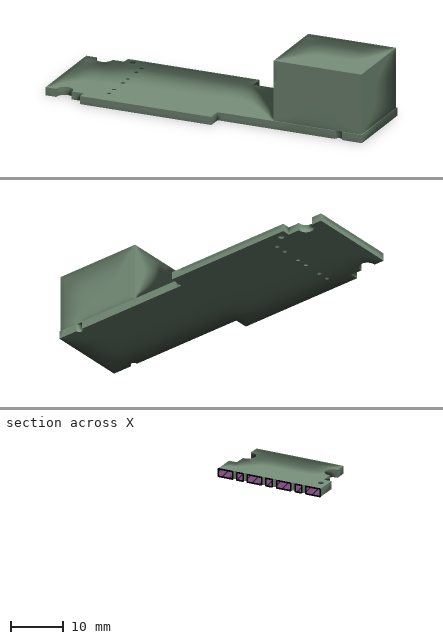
import cadquery as cq

LENGTH = 65.25
THICKNESS = 1.6
TAB_LENGTH = 7.9
TAB_WIDTH = 18.65
BODY_END = 35.25
BODY_WIDTH = 22.0
NECK_WIDTH = 16.3

TAB_NOTCH_DIAMETER = 3.2
TAB_NOTCH_X = 3.85
TAB_NOTCH_INSET = 0.2
NECK_NOTCH_DIAMETER = 1.45
NECK_NOTCH_X = 60.35

CORNER_HOLE_DIAMETER = 1.2
CORNER_HOLE_X = 9.5
CORNER_HOLE_Y = 9.6
PIN_HOLE_DIAMETER = 0.8
PIN_HOLE_X = 12.3
PIN_HOLE_PITCH = 2.3
PIN_PAIR_CENTERS_Y = (6.25, 0.0, -6.25)

BLOCK_LENGTH = 18.3
BLOCK_WIDTH = 15.9
BLOCK_HEIGHT = 12.15
BLOCK_END_GAP = 0.2


def drill(board, diameter, points):
    """Cut round holes right through the board."""
    holes = cq.Workplane("XY").pushPoints(points).circle(diameter / 2).extrude(THICKNESS)
    return board.cut(holes)


def slab(start, end, width):
    """A rectangular stretch of board centred on Y = 0."""
    blank = cq.Workplane("XY").box(end - start, width, THICKNESS, centered=(False, True, False))
    return blank.translate((start, 0, 0))


def make_board():
    board = slab(0, TAB_LENGTH, TAB_WIDTH)
    board = board.union(slab(TAB_LENGTH, BODY_END, BODY_WIDTH))
    board = board.union(slab(BODY_END, LENGTH, NECK_WIDTH))

    for side in (-1, 1):
        tab_notch_y = side * (TAB_WIDTH / 2 - TAB_NOTCH_INSET)
        board = drill(board, TAB_NOTCH_DIAMETER, [(TAB_NOTCH_X, tab_notch_y)])
        board = drill(board, NECK_NOTCH_DIAMETER, [(NECK_NOTCH_X, side * NECK_WIDTH / 2)])

    board = drill(board, CORNER_HOLE_DIAMETER, [(CORNER_HOLE_X, CORNER_HOLE_Y)])

    pin_holes = [
        (PIN_HOLE_X, pair_y + side * PIN_HOLE_PITCH / 2)
        for pair_y in PIN_PAIR_CENTERS_Y
        for side in (-1, 1)
    ]
    return drill(board, PIN_HOLE_DIAMETER, pin_holes)


def make_block():
    block = cq.Workplane("XY").box(BLOCK_LENGTH, BLOCK_WIDTH, BLOCK_HEIGHT, centered=(False, True, False))
    return block.translate((LENGTH - BLOCK_END_GAP - BLOCK_LENGTH, 0, THICKNESS))


board = make_board()
block = make_block()

result = cq.Compound.makeCompound([board.val(), block.val()])